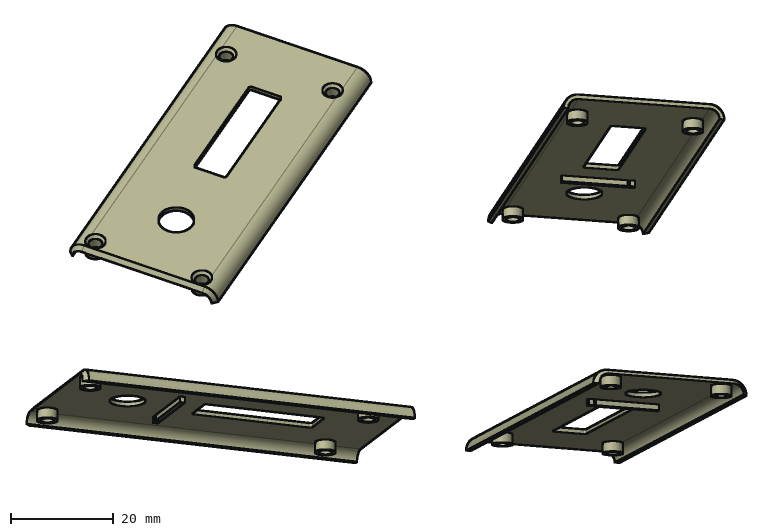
import cadquery as cq

length = 69.0
width = 32.0
height = 3.0
wall = 1.0
front_y = -length / 2
back_y = length / 2
plate_underside = height - wall

screw_x = 11.5
screw_front_inset = 3.0
screw_back_inset = 8.0
boss_diameter = 4.0
screw_diameter = 2.7
countersink_depth = (boss_diameter - screw_diameter) / 2

window_width = 7.0
window_length = 25.0
window_back_inset = 14.0
window_corner_radius = 0.5
window_y = back_y - window_back_inset - window_length / 2
button_diameter = 7.0
button_front_inset = 15.25

rib_depth = 1.2
rib_thickness = 1.0
rib_front_inset = 24.15
long_rib_width = 13.1
short_rib_width = 1.05
short_rib_x = -7.5


def slot_bar(y_start, bar_length, bar_width, bar_height, taper=0):
    """Bar along +Y with a slot-shaped section centred on the base plane."""
    plane = cq.Workplane("XZ", origin=(0, y_start, 0))
    return plane.slot2D(bar_width, bar_height).extrude(-bar_length, taper=taper)


def make_shell():
    """Upper half of a hollow slot bar, bevelled at 45 degrees around its front end."""
    body = slot_bar(front_y + wall, length - wall, width, 2 * height)
    bevel = slot_bar(front_y, wall, width - 2 * wall, 2 * plate_underside, taper=-45)
    cavity = slot_bar(front_y, length, width - 2 * wall, 2 * plate_underside)
    upper_half = cq.Workplane("XY").box(width, length, height, centered=(True, True, False))
    return body.union(bevel).cut(cavity).intersect(upper_half)


def make_rib(x, rib_width):
    rib = cq.Workplane("XY").box(rib_width, rib_thickness, rib_depth + wall / 2, centered=(True, True, False))
    return rib.translate((x, front_y + rib_front_inset, plate_underside - rib_depth))


screw_points = [
    (x, y)
    for x in (-screw_x, screw_x)
    for y in (front_y + screw_front_inset, back_y - screw_back_inset)
]

shell = make_shell()
boss_height = plate_underside + wall / 2
bosses = cq.Workplane("XY").pushPoints(screw_points).circle(boss_diameter / 2).extrude(boss_height)
result = shell.union(bosses)

result = result.union(make_rib(0, long_rib_width))
result = result.union(make_rib(short_rib_x, short_rib_width))

for x, y in screw_points:
    hole = cq.Workplane("XY").center(x, y).circle(screw_diameter / 2).extrude(height)
    countersink = cq.Solid.makeCone(
        screw_diameter / 2,
        boss_diameter / 2,
        countersink_depth,
        pnt=cq.Vector(x, y, height - countersink_depth),
    )
    result = result.cut(hole).cut(cq.Workplane(countersink))

window = cq.Workplane("XY").center(0, window_y).rect(window_width, window_length).extrude(height)
result = result.cut(window.edges("|Z").fillet(window_corner_radius))
button = cq.Workplane("XY").center(0, front_y + button_front_inset).circle(button_diameter / 2)
result = result.cut(button.extrude(height))